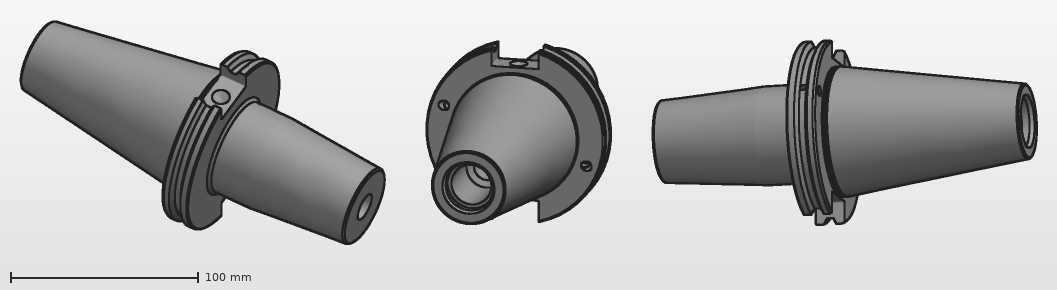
import cadquery as cq
import math

total_length = 201.5

taper_rate = 7 / 24
gauge_radius = 70.0 / 2
gauge_x = 101.6
taper_small_radius = gauge_radius - gauge_x * taper_rate / 2
taper_end_chamfer = 0.8

neck_radius = 69.4 / 2
neck_groove_width = 1.2
neck_ring_width = 1.2

flange_radius = 98.2 / 2
flange_start = 104.6
flange_width = 16.0
flange_end = flange_start + flange_width
flange_middle = flange_start + flange_width / 2
flange_front_bevel = 1.31
flange_back_bevel = 0.7
flange_bevel_height = 0.8
groove_radius = 46.0
groove_floor_width = 3.5
groove_flank_angle = 30.0
groove_depth = flange_radius - groove_radius
groove_mouth_width = groove_floor_width + 2 * groove_depth * math.tan(math.radians(groove_flank_angle))

nose_radius = 53.0 / 2
nose_root_length = 1.6
nose_root_height = 2.0
nose_cone_start = 144.0
nose_end_radius = 22.2
nose_end_chamfer = 1.0

bore_radius = 7.5
pull_stud_radius = 22.0 / 2
pull_stud_depth = 40.3
drill_point_half_angle = 59.0
drill_point_length = (pull_stud_radius - bore_radius) / math.tan(math.radians(drill_point_half_angle))
counterbore_radius = 13.1
counterbore_depth = 6.7
mouth_radius = 28.6 / 2
mouth_length = 2.5

notch_width = 25.8
notch_fillet = 0.6
top_notch_floor = 38.0
bottom_notch_floor = 35.3
dimple_diameter = 9.5

port_angle = 20.0
port_circle_radius = 41.7
port_tilt = 30.0
port_mouth_diameter = 5.0
port_mouth_depth = 3.2
port_channel_diameter = 4.2
port_length = 12.0
cross_hole_diameter = 3.2
cross_hole_depth = 8.0


def revolve_about_x(points):
    """Turn a closed outline of (x, radius) points around the X axis."""
    return cq.Workplane("XY").polyline(points).close().revolve(360, (0, 0, 0), (1, 0, 0))


def drill(start, direction, diameter, depth):
    """A straight cylinder for cutting a hole."""
    return cq.Workplane(obj=cq.Solid.makeCylinder(diameter / 2, depth, start, direction))


def make_body():
    neck_ring_start = gauge_x + neck_groove_width
    neck_ring_end = neck_ring_start + neck_ring_width
    return revolve_about_x([
        (0, 0),
        (0, taper_small_radius - taper_end_chamfer),
        (taper_end_chamfer, taper_small_radius + taper_end_chamfer * taper_rate / 2),
        (gauge_x, gauge_radius),
        (gauge_x, neck_radius),
        (neck_ring_start, neck_radius),
        (neck_ring_start, gauge_radius),
        (neck_ring_end, gauge_radius),
        (neck_ring_end, neck_radius),
        (flange_start, neck_radius),
        (flange_start, flange_radius - flange_bevel_height),
        (flange_start + flange_front_bevel, flange_radius),
        (flange_middle - groove_mouth_width / 2, flange_radius),
        (flange_middle - groove_floor_width / 2, groove_radius),
        (flange_middle + groove_floor_width / 2, groove_radius),
        (flange_middle + groove_mouth_width / 2, flange_radius),
        (flange_end - flange_back_bevel, flange_radius),
        (flange_end, flange_radius - flange_bevel_height),
        (flange_end, nose_radius + nose_root_height),
        (flange_end + nose_root_length, nose_radius),
        (nose_cone_start, nose_radius),
        (total_length - nose_end_chamfer, nose_end_radius),
        (total_length, nose_end_radius - nose_end_chamfer),
        (total_length, 0),
    ])


def make_bore():
    return revolve_about_x([
        (0, 0),
        (0, mouth_radius),
        (mouth_length, counterbore_radius),
        (counterbore_depth, counterbore_radius),
        (counterbore_depth, pull_stud_radius),
        (pull_stud_depth, pull_stud_radius),
        (pull_stud_depth + drill_point_length, bore_radius),
        (total_length, bore_radius),
        (total_length, 0),
    ])


def make_notch(floor, side):
    """Driving notch above (side = 1) or below (side = -1) the axis."""
    height = flange_radius
    floor_face = "<Z" if side > 0 else ">Z"
    return (
        cq.Workplane("XY")
        .box(flange_width, notch_width, height)
        .faces(floor_face)
        .edges("|X")
        .fillet(notch_fillet)
        .translate((flange_middle, 0, side * (floor + height / 2)))
    )


def make_dimple():
    """Conical dimple in the upper notch floor."""
    radius = dimple_diameter / 2
    point_depth = radius / math.tan(math.radians(drill_point_half_angle))
    return (
        cq.Workplane("XZ", origin=(flange_middle, 0, top_notch_floor))
        .polyline([(0, 0), (radius, 0), (0, -point_depth)])
        .close()
        .revolve(360, (0, 0, 0), (0, 1, 0))
    )


def make_coolant_port(angle):
    """Stepped port leaning towards the axis, with its cross hole from the groove floor."""
    outward = cq.Vector(0, math.cos(math.radians(angle)), math.sin(math.radians(angle)))
    tilt = math.radians(port_tilt)
    direction = cq.Vector(math.cos(tilt), 0, 0) - outward * math.sin(tilt)
    start = cq.Vector(flange_start, 0, 0) + outward * port_circle_radius
    lead = direction * port_mouth_depth
    mouth = drill(start - lead, direction, port_mouth_diameter, 2 * port_mouth_depth)
    channel = drill(start, direction, port_channel_diameter, port_length)
    cross_start = cq.Vector(flange_middle, 0, 0) + outward * flange_radius
    cross_length = groove_depth + cross_hole_depth
    cross_hole = drill(cross_start, outward * -1, cross_hole_diameter, cross_length)
    return mouth.union(channel).union(cross_hole)


result = make_body().cut(make_bore())
result = result.cut(make_notch(top_notch_floor, 1))
result = result.cut(make_notch(bottom_notch_floor, -1))
result = result.cut(make_dimple())
for angle in (port_angle, port_angle + 180):
    result = result.cut(make_coolant_port(angle))